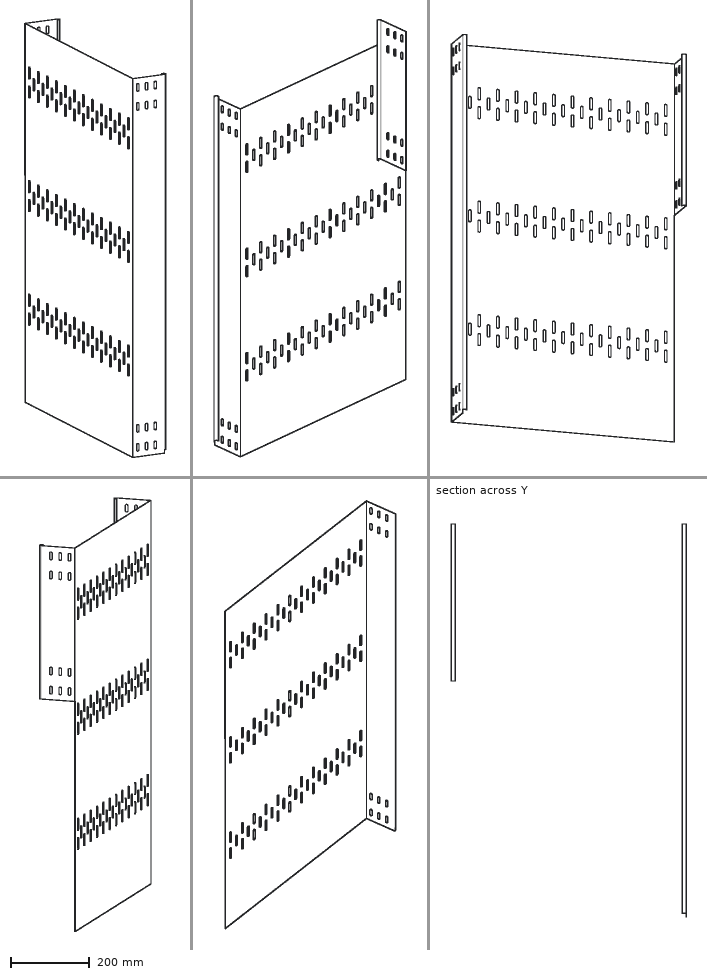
import cadquery as cq

WIDTH = 600.0
DEPTH = 98.0
HEIGHT = 1000.0
SHEET = 2.0

HOOK_RADIUS = 6.0
LIP_LENGTH = 3.0
HOOK_START_Y = DEPTH - HOOK_RADIUS

LEFT_FLANGE_BOTTOM = 600.0
RIGHT_HOOK_BOTTOM = 9.0

SLOT_WIDTH = 7.0
PITCH = 50.0

PANEL_SLOT_LENGTH = 32.0
PANEL_GROUP_HEIGHTS = (250.0, 550.0, 850.0)
OUTER_ROW_COLUMNS = 12
MIDDLE_ROW_COLUMNS = OUTER_ROW_COLUMNS - 1

FLANGE_SLOT_LENGTH = 20.0
FLANGE_SLOT_END_DISTANCE = PITCH / 2
FLANGE_COLUMN_PITCH = PITCH / 2
FLANGE_FIRST_COLUMN_Y = 15.5
FLANGE_COLUMNS = 3
FLANGE_ROWS = 2


def make_panel():
    """Flat front sheet between the two flanges."""
    panel_width = WIDTH - 2 * SHEET
    return cq.Workplane("XY").rect(panel_width, SHEET).extrude(HEIGHT).translate((0, SHEET / 2, 0))


def make_wall(bottom):
    """Flat wall of the left flange, from the given height to the top."""
    wall = cq.Workplane("XY").box(SHEET, HOOK_START_Y, HEIGHT - bottom, centered=False)
    return wall.translate((-WIDTH / 2, 0, bottom))


def make_hook(bottom):
    """Half-round rolled edge of the left flange with its short straight lip."""
    outside = -WIDTH / 2
    hook_middle = outside + HOOK_RADIUS
    far_side = outside + 2 * HOOK_RADIUS
    lip_end = HOOK_START_Y - LIP_LENGTH
    return (
        cq.Workplane("XY", origin=(0, 0, bottom))
        .moveTo(outside, HOOK_START_Y)
        .threePointArc((hook_middle, DEPTH), (far_side, HOOK_START_Y))
        .lineTo(far_side, lip_end)
        .lineTo(far_side - SHEET, lip_end)
        .lineTo(far_side - SHEET, HOOK_START_Y)
        .threePointArc((hook_middle, DEPTH - SHEET), (outside + SHEET, HOOK_START_Y))
        .close()
        .extrude(HEIGHT - bottom)
    )


def flange_slots(bottom):
    """Cutters for the slot grids at both ends of the left flange."""
    columns = [FLANGE_FIRST_COLUMN_Y + i * FLANGE_COLUMN_PITCH for i in range(FLANGE_COLUMNS)]
    end_offsets = [FLANGE_SLOT_END_DISTANCE + i * PITCH for i in range(FLANGE_ROWS)]
    rows = [bottom + offset for offset in end_offsets] + [HEIGHT - offset for offset in end_offsets]
    return (
        cq.Workplane("YZ", origin=(-WIDTH / 2, 0, 0))
        .pushPoints([(y, z) for y in columns for z in rows])
        .slot2D(FLANGE_SLOT_LENGTH, SLOT_WIDTH, 90)
        .extrude(SHEET)
    )


def make_left_flange(bottom, hook_bottom):
    """Complete flange on the -X side."""
    flange = make_wall(bottom).union(make_hook(hook_bottom))
    return flange.cut(flange_slots(bottom))


def slot_row(columns, height):
    """Centres of one horizontal row of panel slots, centred on the panel."""
    return [((i - (columns - 1) / 2) * PITCH, height) for i in range(columns)]


def panel_slots():
    """Cutters for the three staggered slot groups in the panel."""
    centres = []
    for height in PANEL_GROUP_HEIGHTS:
        centres += slot_row(OUTER_ROW_COLUMNS, height - PITCH / 2)
        centres += slot_row(MIDDLE_ROW_COLUMNS, height)
        centres += slot_row(OUTER_ROW_COLUMNS, height + PITCH / 2)
    return (
        cq.Workplane("XZ")
        .pushPoints(centres)
        .slot2D(PANEL_SLOT_LENGTH, SLOT_WIDTH, 90)
        .extrude(-SHEET)
    )


panel = make_panel().cut(panel_slots())
left_flange = make_left_flange(LEFT_FLANGE_BOTTOM, LEFT_FLANGE_BOTTOM)
right_flange = make_left_flange(0, RIGHT_HOOK_BOTTOM).mirror("YZ")
result = panel.union(left_flange).union(right_flange)